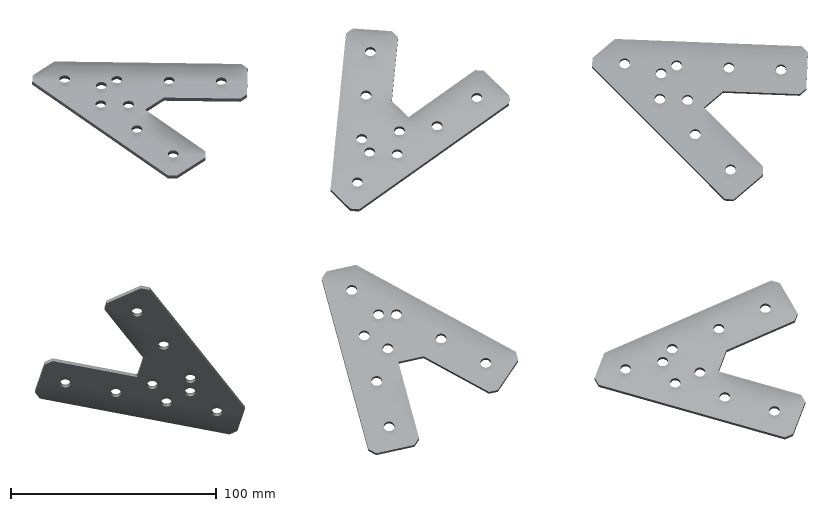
import cadquery as cq
import math

HOLE_PITCH = 25.4
HOLES_PER_ARM = 4
ARM_ANGLE = 45.0
THICKNESS = 2.03
HOLE_DIAMETER = 5.2
CORNER_CHAMFER = 3.125
NOTCH_X = 56.0
WEB_HOLE_X = 28.575
WEB_HOLE_Y = 22.225
WEB_HOLE_SPACING = 19.05

ARM_WIDTH = HOLE_PITCH
HALF_WIDTH = ARM_WIDTH / 2
ARM_LENGTH = HOLES_PER_ARM * HOLE_PITCH
TIP_DISTANCE = ARM_LENGTH - HALF_WIDTH


def on_sloped_arm(along, across):
    """Point measured from the pivot hole, along and to the left of the sloped arm."""
    angle = math.radians(ARM_ANGLE)
    x = HALF_WIDTH + along * math.cos(angle) - across * math.sin(angle)
    y = HALF_WIDTH + along * math.sin(angle) + across * math.cos(angle)
    return (x, y)


def edge_y(x, across):
    """Height at x of the line parallel to the sloped arm, offset sideways by across."""
    angle = math.radians(ARM_ANGLE)
    return HALF_WIDTH + (x - HALF_WIDTH) * math.tan(angle) + across / math.cos(angle)


def make_plate():
    """V-shaped plate with its lower left corner at the origin."""
    outline = [
        (CORNER_CHAMFER, 0),
        (ARM_LENGTH - CORNER_CHAMFER, 0),
        (ARM_LENGTH, CORNER_CHAMFER),
        (ARM_LENGTH, ARM_WIDTH - CORNER_CHAMFER),
        (ARM_LENGTH - CORNER_CHAMFER, ARM_WIDTH),
        (NOTCH_X, ARM_WIDTH),
        (NOTCH_X, edge_y(NOTCH_X, -HALF_WIDTH)),
        on_sloped_arm(TIP_DISTANCE - CORNER_CHAMFER, -HALF_WIDTH),
        on_sloped_arm(TIP_DISTANCE, CORNER_CHAMFER - HALF_WIDTH),
        on_sloped_arm(TIP_DISTANCE, HALF_WIDTH - CORNER_CHAMFER),
        on_sloped_arm(TIP_DISTANCE - CORNER_CHAMFER, HALF_WIDTH),
        (0, edge_y(0, HALF_WIDTH)),
        (0, CORNER_CHAMFER),
    ]
    return cq.Workplane("XY").polyline(outline).close().extrude(THICKNESS)


def hole_centers():
    """Shared pivot hole, the holes along both arms, and the two web holes."""
    centers = [(HALF_WIDTH, HALF_WIDTH)]
    for index in range(1, HOLES_PER_ARM):
        distance = index * HOLE_PITCH
        centers.append((HALF_WIDTH + distance, HALF_WIDTH))
        centers.append(on_sloped_arm(distance, 0))
    centers.append((WEB_HOLE_X, WEB_HOLE_Y))
    centers.append((WEB_HOLE_X + WEB_HOLE_SPACING, WEB_HOLE_Y))
    return centers


def make_holes():
    """Cylinders that cut the through holes."""
    return (
        cq.Workplane("XY")
        .pushPoints(hole_centers())
        .circle(HOLE_DIAMETER / 2)
        .extrude(THICKNESS)
    )


result = make_plate().cut(make_holes())